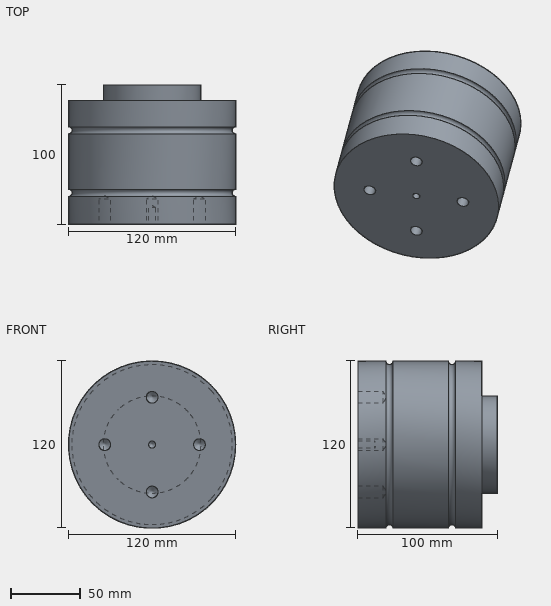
import cadquery as cq
import math

body_diameter = 120.0
overall_length = 100.0
boss_diameter = 70.0
boss_length = 11.0
body_length = overall_length - boss_length

groove_radius = 2.5
groove_positions = (22.5, 67.5)

center_hole_diameter = 5.0
center_hole_depth = 12.0
bolt_hole_diameter = 8.4
bolt_hole_depth = 18.0
bolt_circle_radius = 34.0
bolt_hole_count = 4
drill_tip_angle = 118.0


def cylinder_along_y(diameter, start, length):
    """Cylinder on the Y axis that runs from start toward +Y."""
    plane = cq.Plane(origin=(0, start, 0), xDir=(1, 0, 0), normal=(0, 1, 0))
    return cq.Workplane(plane).circle(diameter / 2).extrude(length)


def groove_ring(position):
    """Ring of round section centered on the body's outer surface."""
    ring = cq.Solid.makeTorus(
        body_diameter / 2, groove_radius, cq.Vector(0, position, 0), cq.Vector(0, 1, 0)
    )
    return cq.Workplane(obj=ring)


def drilled_hole(diameter, depth):
    """Cutter for a hole on the Y axis; depth is the straight part before the conical tip."""
    radius = diameter / 2
    tip_length = radius / math.tan(math.radians(drill_tip_angle / 2))
    half_section = (
        cq.Workplane("XY")
        .polyline([(0, 0), (radius, 0), (radius, depth), (0, depth + tip_length)])
        .close()
    )
    return half_section.revolve(360, (0, 0, 0), (0, 1, 0))


result = cylinder_along_y(body_diameter, 0, body_length)
result = result.union(cylinder_along_y(boss_diameter, body_length, boss_length))

for groove_position in groove_positions:
    result = result.cut(groove_ring(groove_position))

result = result.cut(drilled_hole(center_hole_diameter, center_hole_depth))
for index in range(bolt_hole_count):
    angle = index * 2 * math.pi / bolt_hole_count
    offset = (bolt_circle_radius * math.cos(angle), 0, bolt_circle_radius * math.sin(angle))
    result = result.cut(drilled_hole(bolt_hole_diameter, bolt_hole_depth).translate(offset))